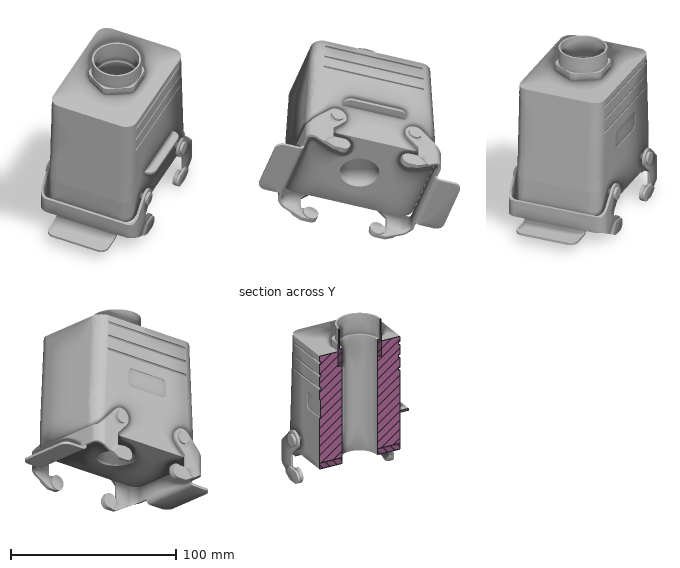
import cadquery as cq
import math

HOOD_WIDTH = 56.0
BASE_LENGTH = 82.1
TOP_LENGTH = 75.7
CORNER_RADIUS = 7.0
SEAL_HEIGHT = 3.9
SKIRT_TOP = 16.3
ROOF_HEIGHT = 76.4
BORE_DIAMETER = 24.0

GROOVE_COUNT = 3
GROOVE_WIDTH = 1.5
GROOVE_DEPTH = 0.9
GROOVE_PITCH = 8.7
FIRST_GROOVE_TOP = ROOF_HEIGHT - 3.9

PANEL_LENGTH = 30.0
PANEL_HEIGHT = 12.0
PANEL_CORNER = 2.9
PANEL_DEPTH = 0.5
PANEL_CENTER_Z = 40.6

HEX_ACROSS_FLATS = 30.3
HEX_ACROSS_CORNERS = 33.6
HEX_HEIGHT = 5.0
TUBE_DIAMETER = 29.6
TUBE_BORE = 27.5
GLAND_FLOOR = 1.5
GLAND_HEIGHT = 15.0
SPIGOT_DEPTH = 10.0

SHEET = 1.5
LEVER_HALF_WIDTH = 32.3
STRAP_OUTER_Y = 43.2
LEVER_BEND_RADIUS = 6.0
STRAP_TOP = 1.5
STRAP_BOTTOM = -9.3
PIVOT_Y = 24.7
PIVOT_Z = 10.1
EYE_RADIUS = 6.0
PIN_DIAMETER = 4.9
PIN_HEAD_DIAMETER = 8.0
PIN_HEAD_HEIGHT = 1.5

ARM_INNER_Y = 27.2
HOOK_BOTTOM = -17.3
HOOK_END_RADIUS = 4.1
HOOK_END_Y = 20.8
HOOK_HEEL_Y = 26.8
LOWER_EDGE_START_Y = 41.5
HOOK_STEP = 1.0
STEP_START_Y = 29.2
STEP_LENGTH = 2.9
DISC_DIAMETER = 9.5
DISC_THICKNESS = 2.1
DISC_Y = 21.2
DISC_OUTER_X = 31.9

TAB_WIDTH = 40.0
TAB_CORNER = 4.9
LEVER_TAB_END_Y = 58.8
TAB_BEND_RADIUS = 1.4
HOOD_TAB_REACH = 5.9
HOOD_TAB_TOP = 26.3

HOOK_TOP = HOOK_BOTTOM + 2 * HOOK_END_RADIUS
SPIGOT_BOTTOM = ROOF_HEIGHT - SPIGOT_DEPTH


def rounded_block(width, length, radius, bottom, top):
    """Upright block with rounded vertical edges, centred on the Z axis."""
    block = cq.Workplane("XY").workplane(offset=bottom).rect(width, length).extrude(top - bottom)
    return block.edges("|Z").fillet(radius)


def bore(bottom, top):
    """Cutter for the cable passage between two heights."""
    return cq.Workplane("XY").workplane(offset=bottom).circle(BORE_DIAMETER / 2).extrude(top - bottom)


def make_tube_blank(top):
    """Solid cylinder of the gland tube, from the bottom of its spigot up to the given height."""
    blank = cq.Workplane("XY").workplane(offset=SPIGOT_BOTTOM).circle(TUBE_DIAMETER / 2)
    return blank.extrude(top - SPIGOT_BOTTOM)


def flat_half_length(z):
    """Half the Y length of the flat part of a hood flank at height z."""
    taper = (TOP_LENGTH - BASE_LENGTH) / (ROOF_HEIGHT - SKIRT_TOP)
    return (BASE_LENGTH + taper * (z - SKIRT_TOP)) / 2 - CORNER_RADIUS


def rounded_outline(width, length):
    return cq.Sketch().rect(width, length).vertices().fillet(CORNER_RADIUS)


def make_groove(side, top):
    """Cutter for one horizontal groove in the flank on the given side (+1 or -1)."""
    bottom = top - GROOVE_WIDTH
    corners = [
        (-flat_half_length(bottom), bottom),
        (flat_half_length(bottom), bottom),
        (flat_half_length(top), top),
        (-flat_half_length(top), top),
    ]
    flank = cq.Workplane("YZ").workplane(offset=side * HOOD_WIDTH / 2)
    return flank.polyline(corners).close().extrude(-side * GROOVE_DEPTH)


def make_panel_recess():
    flank = cq.Workplane("YZ").workplane(offset=-HOOD_WIDTH / 2).center(0, PANEL_CENTER_Z)
    recess = flank.rect(PANEL_LENGTH, PANEL_HEIGHT).extrude(PANEL_DEPTH)
    return recess.edges("|X").fillet(PANEL_CORNER)


def make_hood_tab():
    tab = (
        cq.Workplane("XY")
        .workplane(offset=HOOD_TAB_TOP - SHEET)
        .center(HOOD_WIDTH / 2, 0)
        .rect(2 * HOOD_TAB_REACH, TAB_WIDTH)
        .extrude(SHEET)
    )
    return tab.edges("|Z and >X").fillet(TAB_CORNER)


def make_hood():
    skirt = rounded_block(HOOD_WIDTH, BASE_LENGTH, CORNER_RADIUS, SEAL_HEIGHT, SKIRT_TOP)
    tapered = (
        cq.Workplane("XY")
        .placeSketch(
            rounded_outline(HOOD_WIDTH, BASE_LENGTH).moved(cq.Location(cq.Vector(0, 0, SKIRT_TOP))),
            rounded_outline(HOOD_WIDTH, TOP_LENGTH).moved(cq.Location(cq.Vector(0, 0, ROOF_HEIGHT))),
        )
        .loft(ruled=True)
    )
    hood = skirt.union(tapered, clean=False).union(make_hood_tab())
    for side in (-1, 1):
        for index in range(GROOVE_COUNT):
            hood = hood.cut(make_groove(side, FIRST_GROOVE_TOP - index * GROOVE_PITCH))
    hood = hood.cut(make_panel_recess()).cut(make_tube_blank(ROOF_HEIGHT))
    return hood.cut(bore(SEAL_HEIGHT, ROOF_HEIGHT))


def make_seal():
    """Rim seal closing the underside of the hood, flush with its skirt."""
    seal = rounded_block(HOOD_WIDTH, BASE_LENGTH, CORNER_RADIUS, 0, SEAL_HEIGHT)
    return seal.cut(bore(0, SEAL_HEIGHT))


def make_gland():
    """Hexagon with two flats facing +X and -X, on a thin tube with a bored floor and spigot."""
    seat = cq.Workplane("XY").workplane(offset=ROOF_HEIGHT)
    point_to_point = HEX_ACROSS_FLATS / math.cos(math.radians(30))
    hexagon = seat.polygon(6, point_to_point).extrude(HEX_HEIGHT)
    hexagon = hexagon.rotate((0, 0, 0), (0, 0, 1), 30)
    hexagon = hexagon.intersect(seat.circle(HEX_ACROSS_CORNERS / 2).extrude(HEX_HEIGHT))
    tube = make_tube_blank(ROOF_HEIGHT + GLAND_HEIGHT)
    socket = seat.workplane(offset=GLAND_FLOOR).circle(TUBE_BORE / 2).extrude(GLAND_HEIGHT)
    return hexagon.union(tube).cut(socket).cut(bore(SPIGOT_BOTTOM, ROOF_HEIGHT + GLAND_FLOOR))


def step_line_points():
    """Lower and upper end of the step line, at 45 degrees, where the hook starts to thicken."""
    slope = (STRAP_BOTTOM - HOOK_BOTTOM) / (LOWER_EDGE_START_Y - HOOK_HEEL_Y)
    run = STEP_START_Y + HOOK_TOP
    lower_y = (run - HOOK_BOTTOM + slope * HOOK_HEEL_Y) / (1 + slope)
    return (lower_y, run - lower_y), (STEP_START_Y, HOOK_TOP)


def arm_profile():
    """Side outline of arm and strap in the YZ plane, down to the step line of the hook."""
    eye_slope = EYE_RADIUS * math.sqrt(0.5)
    outer_tangent = (PIVOT_Y + eye_slope, PIVOT_Z + eye_slope)
    inner_tangent = (PIVOT_Y - eye_slope, PIVOT_Z - eye_slope)
    eye_tip = (PIVOT_Y - eye_slope, PIVOT_Z + eye_slope)
    slope_end_y = outer_tangent[0] + outer_tangent[1] - STRAP_TOP
    inner_corner_z = inner_tangent[1] - (ARM_INNER_Y - inner_tangent[0])
    return (
        cq.Workplane("YZ")
        .moveTo(*inner_tangent)
        .threePointArc(eye_tip, outer_tangent)
        .lineTo(slope_end_y, STRAP_TOP)
        .lineTo(STRAP_OUTER_Y, STRAP_TOP)
        .lineTo(STRAP_OUTER_Y, STRAP_BOTTOM)
        .lineTo(LOWER_EDGE_START_Y, STRAP_BOTTOM)
        .lineTo(*step_line_points()[0])
        .lineTo(STEP_START_Y, HOOK_TOP)
        .lineTo(ARM_INNER_Y, HOOK_TOP)
        .lineTo(ARM_INNER_Y, inner_corner_z)
        .close()
    )


def make_bent_strap():
    """U-shaped sheet: two arms joined by the cross strap, trimmed to the side outline."""
    height = PIVOT_Z + EYE_RADIUS - HOOK_BOTTOM
    width = 2 * LEVER_HALF_WIDTH
    plan = cq.Workplane("XY").workplane(offset=HOOK_BOTTOM)
    outer = plan.rect(width, 2 * STRAP_OUTER_Y).extrude(height)
    outer = outer.edges("|Z").fillet(LEVER_BEND_RADIUS)
    inner = plan.rect(width - 2 * SHEET, 2 * (STRAP_OUTER_Y - SHEET)).extrude(height)
    inner = inner.edges("|Z").fillet(LEVER_BEND_RADIUS - SHEET)
    return outer.cut(inner).intersect(arm_profile().extrude(LEVER_HALF_WIDTH, both=True))


def make_hook():
    """Hook of the +X arm: flush with the arm inside, thickened outward past the step line."""
    outline = (
        cq.Workplane("YZ")
        .moveTo(*step_line_points()[0])
        .lineTo(HOOK_HEEL_Y, HOOK_BOTTOM)
        .lineTo(HOOK_END_Y, HOOK_BOTTOM)
        .threePointArc(
            (HOOK_END_Y - HOOK_END_RADIUS, HOOK_BOTTOM + HOOK_END_RADIUS),
            (HOOK_END_Y, HOOK_TOP),
        )
        .lineTo(STEP_START_Y, HOOK_TOP)
        .close()
        .extrude(2 * LEVER_HALF_WIDTH)
    )
    across_step = cq.Plane(
        origin=(0, STEP_START_Y, HOOK_TOP), xDir=(0, -1, -1), normal=(0, -1, 1)
    )
    ramp = STEP_LENGTH * math.sqrt(0.5)
    reach = STEP_START_Y
    inner = LEVER_HALF_WIDTH - SHEET
    stepped_plate = (
        cq.Workplane(across_step)
        .moveTo(0, LEVER_HALF_WIDTH)
        .lineTo(ramp, LEVER_HALF_WIDTH + HOOK_STEP)
        .lineTo(reach, LEVER_HALF_WIDTH + HOOK_STEP)
        .lineTo(reach, inner)
        .lineTo(0, inner)
        .close()
        .extrude(reach, both=True)
    )
    return stepped_plate.intersect(outline)


def x_cylinder(diameter, y, z, start, end):
    """Cylinder along X from start to end."""
    plane = cq.Workplane("YZ", origin=(start, y, z))
    return plane.circle(diameter / 2).extrude(end - start)


def make_arm_fittings():
    """Hook, hook disc and headed pivot pin of the +X arm."""
    disc_z = HOOK_BOTTOM + DISC_DIAMETER / 2
    disc_inner = DISC_OUTER_X - DISC_THICKNESS
    disc = x_cylinder(DISC_DIAMETER, DISC_Y, disc_z, disc_inner, DISC_OUTER_X)
    pin = x_cylinder(PIN_DIAMETER, PIVOT_Y, PIVOT_Z, HOOD_WIDTH / 2, LEVER_HALF_WIDTH)
    head_end = LEVER_HALF_WIDTH + PIN_HEAD_HEIGHT
    head = x_cylinder(PIN_HEAD_DIAMETER, PIVOT_Y, PIVOT_Z, LEVER_HALF_WIDTH, head_end)
    return make_hook().union(disc).union(pin).union(head)


def make_lever_tab():
    """Grip tab bent outward from the lower edge of the strap."""
    outer_radius = TAB_BEND_RADIUS + SHEET
    bend_y = STRAP_OUTER_Y + TAB_BEND_RADIUS
    diagonal = math.sqrt(0.5)
    tab = (
        cq.Workplane("YZ")
        .moveTo(STRAP_OUTER_Y, STRAP_BOTTOM)
        .threePointArc(
            (bend_y - TAB_BEND_RADIUS * diagonal, STRAP_BOTTOM - TAB_BEND_RADIUS * diagonal),
            (bend_y, STRAP_BOTTOM - TAB_BEND_RADIUS),
        )
        .lineTo(LEVER_TAB_END_Y, STRAP_BOTTOM - TAB_BEND_RADIUS)
        .lineTo(LEVER_TAB_END_Y, STRAP_BOTTOM - outer_radius)
        .lineTo(bend_y, STRAP_BOTTOM - outer_radius)
        .threePointArc(
            (bend_y - outer_radius * diagonal, STRAP_BOTTOM - outer_radius * diagonal),
            (STRAP_OUTER_Y - SHEET, STRAP_BOTTOM),
        )
        .close()
        .extrude(TAB_WIDTH / 2, both=True)
    )
    return tab.edges("|Z and >Y").fillet(TAB_CORNER)


def make_lever():
    """Lever on the +Y end of the hood."""
    fittings = make_arm_fittings()
    lever = make_bent_strap().union(make_lever_tab())
    return lever.union(fittings).union(fittings.mirror("YZ"))


hood = make_hood().solids()
seal = make_seal().solids()
gland = make_gland().solids()
levers = []
for angle in (0, 180):
    lever = make_lever().rotate((0, 0, 0), (0, 0, 1), angle)
    levers.append(lever.solids().val())

result = cq.Compound.makeCompound([hood.val(), seal.val(), gland.val(), *levers])